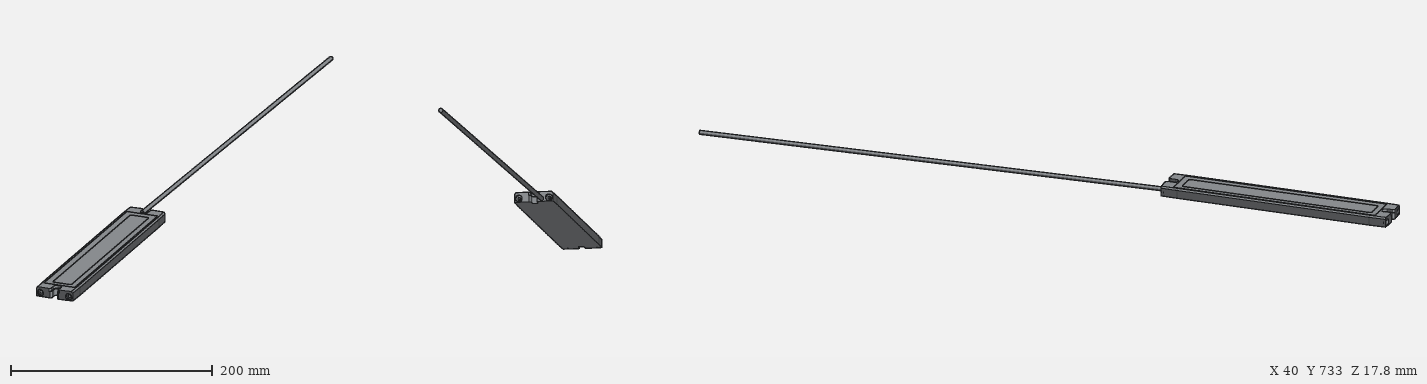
import cadquery as cq
import math


LENGTH = 240.0
WIDTH = 40.0
HEIGHT = 10.0
CAP_LENGTH = 18.0
CAP_TAPER = 1.5
END_RADIUS = 220.0
TOP_CHAMFER = 1.6

PLATE_MARGIN = 13.0
PLATE_WIDTH = 33.0
WINDOW_MARGIN = 19.5
WINDOW_WIDTH = 20.0
WINDOW_CORNER_RADIUS = 2.0
STEP_DEPTH = 0.4

SLOT_WIDTH = 6.0
SLOT_DEPTH = 9.6
HEAD_SLOT_WIDTH = 8.0
HEAD_SLOT_DEPTH = 11.6
HEAD_SEAT_Z = 7.0
MOUTH_FILLET = 2.0

SCREW_X = 15.2
SCREW_Z = 4.0
SCREW_HEAD_DIAMETER = 6.6
SCREW_HEAD_DEPTH = 3.0
SCREW_HOLE_DIAMETER = 3.0
SCREW_HOLE_DEPTH = 10.0

CABLE_DIAMETER = 4.26
CABLE_X = -8.0
CABLE_OVERHANG = 493.06
CABLE_EMBED = 5.0
CABLE_SLOPE = 1.0
CABLE_LOWEST_Z = -7.83

HALF_LENGTH = LENGTH / 2
HALF_WIDTH = WIDTH / 2
ENDS = (-1, 1)


def housing_blank():
    """Plan outline with tapered ends and bowed end faces, chamfered along the long top edges."""
    corner_x = HALF_WIDTH - CAP_LENGTH * math.tan(math.radians(CAP_TAPER))
    bow = END_RADIUS - math.sqrt(END_RADIUS**2 - corner_x**2)
    corner_y = HALF_LENGTH - bow
    cap_y = HALF_LENGTH - CAP_LENGTH
    blank = (
        cq.Workplane("XY")
        .moveTo(-corner_x, -corner_y)
        .threePointArc((0, -HALF_LENGTH), (corner_x, -corner_y))
        .lineTo(HALF_WIDTH, -cap_y)
        .lineTo(HALF_WIDTH, cap_y)
        .lineTo(corner_x, corner_y)
        .threePointArc((0, HALF_LENGTH), (-corner_x, corner_y))
        .lineTo(-HALF_WIDTH, cap_y)
        .lineTo(-HALF_WIDTH, -cap_y)
        .close()
        .extrude(HEIGHT)
    )
    end_edges = cq.selectors.TypeSelector("CIRCLE")
    return blank.faces(">Z").edges(cq.selectors.InverseSelector(end_edges)).chamfer(TOP_CHAMFER)


def recess(width, margin, depth):
    """Rectangular pocket tool reaching down from the top face."""
    floor = cq.Workplane("XY", origin=(0, 0, HEIGHT - depth))
    return floor.rect(width, LENGTH - 2 * margin).extrude(depth)


def slot_cutter(end, width, slot_depth, floor_z):
    """Round-ended slot open to one housing end, its mouth flared by fillet arcs."""
    half = width / 2
    wide = half + MOUTH_FILLET
    arc_offset = MOUTH_FILLET * (1 - math.cos(math.radians(45)))
    mouth_y = HALF_LENGTH
    outside_y = HALF_LENGTH + MOUTH_FILLET
    inner_y = mouth_y - MOUTH_FILLET
    apex_y = HALF_LENGTH - slot_depth
    cutter = (
        cq.Workplane("XY", origin=(0, 0, floor_z))
        .moveTo(wide, outside_y)
        .lineTo(wide, mouth_y)
        .threePointArc((half + arc_offset, mouth_y - arc_offset), (half, inner_y))
        .lineTo(half, apex_y + half)
        .threePointArc((0, apex_y), (-half, apex_y + half))
        .lineTo(-half, inner_y)
        .threePointArc((-half - arc_offset, mouth_y - arc_offset), (-wide, mouth_y))
        .lineTo(-wide, outside_y)
        .close()
        .extrude(HEIGHT - floor_z)
    )
    return cutter if end > 0 else cutter.mirror("XZ")


def screw_cutter(end, side):
    """Counterbored blind screw hole running in from an end face."""

    def bore(diameter, depth):
        start = cq.Vector(side * SCREW_X, end * HALF_LENGTH, SCREW_Z)
        return cq.Solid.makeCylinder(diameter / 2, depth, start, cq.Vector(0, -end, 0))

    head = bore(SCREW_HEAD_DIAMETER, SCREW_HEAD_DEPTH)
    return head.fuse(bore(SCREW_HOLE_DIAMETER, SCREW_HOLE_DEPTH))


def cable():
    """Straight round cable from inside the housing to its free end."""
    slope = math.radians(CABLE_SLOPE)
    radius = CABLE_DIAMETER / 2
    end_y = HALF_LENGTH + CABLE_OVERHANG - radius * math.sin(slope)
    end_z = CABLE_LOWEST_Z + radius * math.cos(slope)
    length = (CABLE_OVERHANG + CABLE_EMBED) / math.cos(slope)
    towards_housing = cq.Vector(0, -math.cos(slope), math.sin(slope))
    return cq.Solid.makeCylinder(radius, length, cq.Vector(CABLE_X, end_y, end_z), towards_housing)


result = housing_blank()
result = result.cut(recess(PLATE_WIDTH, PLATE_MARGIN, STEP_DEPTH))
window = recess(WINDOW_WIDTH, WINDOW_MARGIN, 2 * STEP_DEPTH)
result = result.cut(window.edges("|Z").fillet(WINDOW_CORNER_RADIUS))
for end in ENDS:
    result = result.cut(slot_cutter(end, SLOT_WIDTH, SLOT_DEPTH, 0))
    result = result.cut(slot_cutter(end, HEAD_SLOT_WIDTH, HEAD_SLOT_DEPTH, HEAD_SEAT_Z))
    for side in (-1, 1):
        result = result.cut(screw_cutter(end, side))
result = result.union(cable())